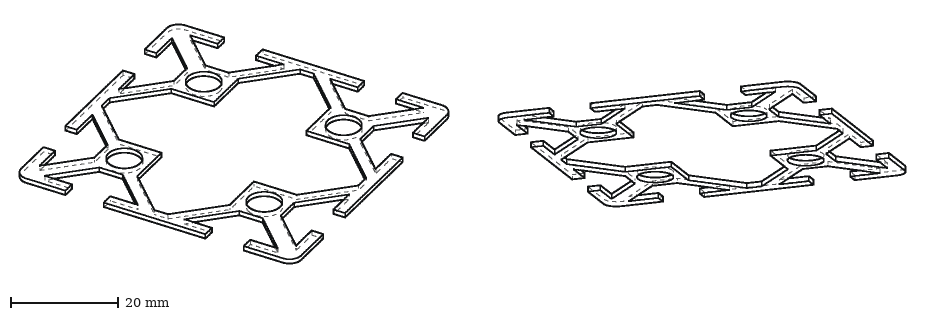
import cadquery as cq
import math

SIZE = 60.0
THICKNESS = 1.0
CORNER_RADIUS = 2.5
HALF_SIZE = SIZE / 2

CORE_OFFSET = SIZE / 4
SLOT_OPENING = 8.2
LIP_THICKNESS = 2.5
SLOT_DEPTH = 10.0
SLOT_INNER_WIDTH = 20.0
SLOT_FLOOR_WIDTH = SLOT_INNER_WIDTH - 2 * (SLOT_DEPTH - LIP_THICKNESS)

CORE_HALF_WIDTH = 5.1
CORE_HOLE_DIAMETER = 6.8
WEB_THICKNESS = 2.5

QUARTER_TURNS = 4
LIP_BACK = HALF_SIZE - LIP_THICKNESS


def extruded(points):
    """Closed XY polygon extruded through the thickness."""
    return cq.Workplane("XY").polyline(points).close().extrude(THICKNESS)


def t_slot(center_x):
    """Slot in the +Y side, centred on the given X."""
    floor_y = HALF_SIZE - SLOT_DEPTH
    right_half = [
        (SLOT_OPENING / 2, HALF_SIZE),
        (SLOT_OPENING / 2, LIP_BACK),
        (SLOT_INNER_WIDTH / 2, LIP_BACK),
        (SLOT_FLOOR_WIDTH / 2, floor_y),
    ]
    left_half = [(-x, y) for x, y in reversed(right_half)]
    return extruded([(center_x + x, y) for x, y in right_half + left_half])


def central_cavity():
    """Opening bounded by the side walls, the webs and the inner faces of the cores."""
    core_face = CORE_OFFSET - CORE_HALF_WIDTH
    flank_sum = CORE_OFFSET - SLOT_INNER_WIDTH / 2 + LIP_BACK
    web_sum = flank_sum - WEB_THICKNESS * math.sqrt(2)
    corner_points = [
        (web_sum - LIP_BACK, LIP_BACK),
        (core_face, web_sum - core_face),
        (core_face, core_face),
        (web_sum - core_face, core_face),
        (LIP_BACK, web_sum - LIP_BACK),
    ]
    outline = []
    for _ in range(QUARTER_TURNS):
        outline += corner_points
        corner_points = [(y, -x) for x, y in corner_points]
    return extruded(outline)


def core_holes():
    """Round through holes, one in each core."""
    spacing = 2 * CORE_OFFSET
    return (
        cq.Workplane("XY")
        .rarray(spacing, spacing, 2, 2)
        .circle(CORE_HOLE_DIAMETER / 2)
        .extrude(THICKNESS)
    )


plate = cq.Workplane("XY").rect(SIZE, SIZE).extrude(THICKNESS)
result = plate.edges("|Z").fillet(CORNER_RADIUS)
result = result.cut(central_cavity()).cut(core_holes())
for turn in range(QUARTER_TURNS):
    angle = turn * 360 / QUARTER_TURNS
    for slot_x in (-CORE_OFFSET, CORE_OFFSET):
        result = result.cut(t_slot(slot_x).rotate((0, 0, 0), (0, 0, 1), angle))